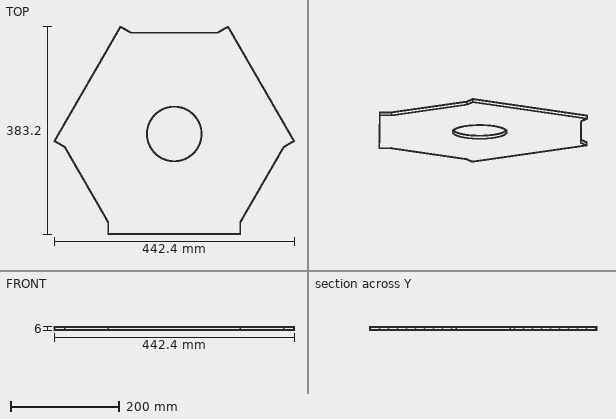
import cadquery as cq
import math

THICKNESS = 6.0
BORE_DIAMETER = 100.4
LONG_EDGE_DISTANCE = 185.0
LONG_EDGE_LENGTH = 244.0
STEP_DEPTH = 22.0
LONG_EDGE_COUNT = 3


def rotate(point, angle_deg):
    """Turn a point about the plate centre."""
    x, y = point
    c = math.cos(math.radians(angle_deg))
    s = math.sin(math.radians(angle_deg))
    return (x * c - y * s, x * s + y * c)


def outline_points():
    """Three long edges with square returns, joined by three short edges."""
    half_length = LONG_EDGE_LENGTH / 2
    inner_distance = LONG_EDGE_DISTANCE - STEP_DEPTH
    long_side = [
        (-half_length, -inner_distance),
        (-half_length, -LONG_EDGE_DISTANCE),
        (half_length, -LONG_EDGE_DISTANCE),
        (half_length, -inner_distance),
    ]
    points = []
    for index in range(LONG_EDGE_COUNT):
        angle = index * 360.0 / LONG_EDGE_COUNT
        points += [rotate(point, angle) for point in long_side]
    return points


def make_plate():
    return cq.Workplane("XY").polyline(outline_points()).close().extrude(THICKNESS)


def cut_bore(plate):
    return plate.faces(">Z").workplane(origin=(0, 0, 0)).hole(BORE_DIAMETER)


result = cut_bore(make_plate())